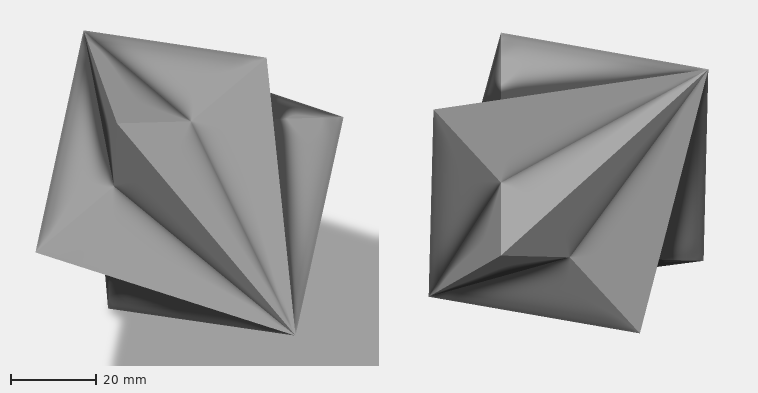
import cadquery as cq
import math

overall_length = 101.94
apex_reach = overall_length / 2
tip_radius = 41.447
twist_angle = 61.91
corner_count = 3
corner_step = 360 / corner_count


def triangle_corners(first_angle):
    """Corners of a triangle at X = 0, with angles measured from -Y towards +Z."""
    corners = []
    for index in range(corner_count):
        angle = math.radians(first_angle + index * corner_step)
        corners.append(cq.Vector(0, -tip_radius * math.cos(angle), tip_radius * math.sin(angle)))
    return corners


def solid_from_faces(outlines):
    """Closed solid with one flat face per outline."""
    faces = [cq.Face.makeFromWires(cq.Wire.makePolygon(outline, close=True)) for outline in outlines]
    return cq.Workplane(cq.Solid.makeSolid(cq.Shell.makeShell(faces)).fix())


def sides_to_apex(corners, side):
    """Three triangles from the corners to the apex on the given side (-1 or 1) of X = 0."""
    apex = cq.Vector(side * apex_reach, 0, 0)
    return [[start, end, apex] for start, end in zip(corners, corners[1:] + corners[:1])]


def double_pyramid(first_angle):
    """Pyramids on both sides of one triangle."""
    corners = triangle_corners(first_angle)
    return solid_from_faces(sides_to_apex(corners, -1) + sides_to_apex(corners, 1))


def half_pyramid(first_angle, side):
    """Pyramid on one side of the triangle, used to notch the other body."""
    corners = triangle_corners(first_angle)
    return solid_from_faces([corners] + sides_to_apex(corners, side))


first_pyramid = double_pyramid(0).cut(half_pyramid(twist_angle, -1))
second_pyramid = double_pyramid(twist_angle).cut(half_pyramid(0, 1))

result = cq.Compound.makeCompound([*first_pyramid.solids().vals(), *second_pyramid.solids().vals()])